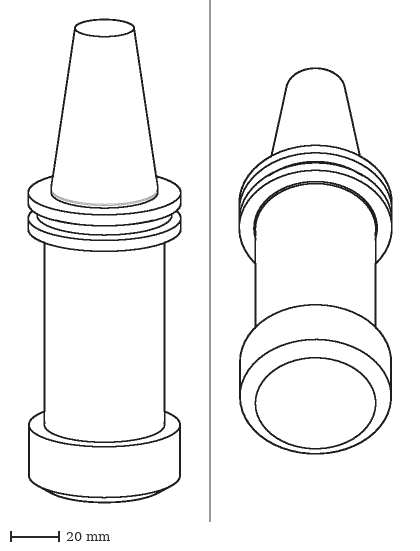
import cadquery as cq

total_height = 198.4
nut_chamfer_height = 4.2
nut_top = 26.2
flange_bottom = 111.1
flange_top = 127.0
shank_bottom = 128.8

taper_small_diameter = 24.6
taper_large_diameter = 44.5
body_diameter = 50.0
nose_diameter = 50.0
groove_diameter = 56.0
nut_diameter = 62.9
flange_diameter = 63.5

rim_height = 4.8
groove_wall_height = 1.2

collar_cone_height = 0.5
collar_diameter = 44.2

relief_height = 0.5
relief_diameter = body_diameter + 2 * relief_height


def frustum(bottom_diameter, top_diameter, bottom, top):
    """Solid cone on the Z axis between two heights."""
    return cq.Workplane(obj=cq.Solid.makeCone(
        bottom_diameter / 2, top_diameter / 2, top - bottom, pnt=cq.Vector(0, 0, bottom)
    ))


def cylinder(diameter, bottom, top):
    """Solid cylinder on the Z axis between two heights."""
    return cq.Workplane("XY", origin=(0, 0, bottom)).circle(diameter / 2).extrude(top - bottom)


nut = frustum(nose_diameter, nut_diameter, 0, nut_chamfer_height)
nut = nut.union(cylinder(nut_diameter, nut_chamfer_height, nut_top))

body = cylinder(body_diameter, nut_top, flange_bottom)
relief = frustum(body_diameter, relief_diameter, flange_bottom - relief_height, flange_bottom)

lower_rim_top = flange_bottom + rim_height
upper_rim_bottom = flange_top - rim_height
groove_floor_bottom = lower_rim_top + groove_wall_height
groove_floor_top = upper_rim_bottom - groove_wall_height
flange = (
    cylinder(flange_diameter, flange_bottom, lower_rim_top)
    .union(frustum(flange_diameter, groove_diameter, lower_rim_top, groove_floor_bottom))
    .union(cylinder(groove_diameter, groove_floor_bottom, groove_floor_top))
    .union(frustum(groove_diameter, flange_diameter, groove_floor_top, upper_rim_bottom))
    .union(cylinder(flange_diameter, upper_rim_bottom, flange_top))
)

collar_top = shank_bottom - collar_cone_height
collar = cylinder(collar_diameter, flange_top, collar_top)
collar_cone = frustum(collar_diameter, taper_large_diameter, collar_top, shank_bottom)
shank = frustum(taper_large_diameter, taper_small_diameter, shank_bottom, total_height)

result = nut.union(body).union(relief).union(flange).union(collar).union(collar_cone).union(shank)